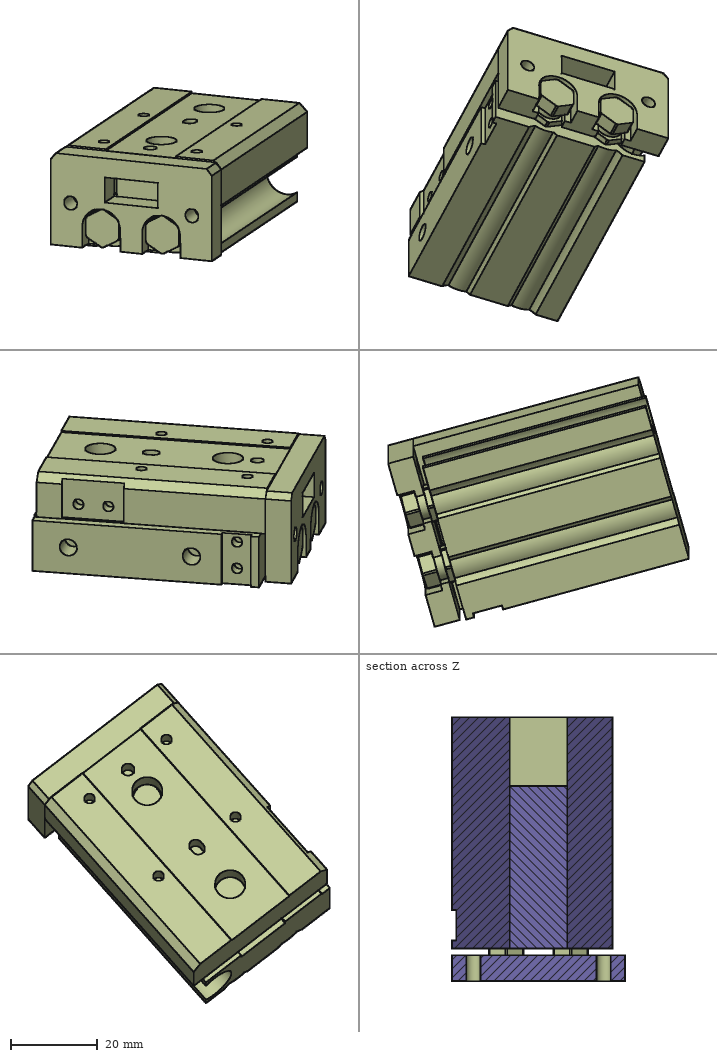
import cadquery as cq
import math


WIDTH = 40.0
LENGTH = 61.0
HEIGHT = 24.0
LEFT = -WIDTH / 2

PLATE_THICKNESS = 6.05
PLATE_BOTTOM = 1.5
PLATE_TOP = 23.55
PLATE_BEVEL_WIDTH = 1.3
PLATE_HOLE_DIAMETER = 3.25
PLATE_HOLE_X = 15.05
PLATE_HOLE_Z = 11.95

TABLE_BACK = 60.0
TABLE_BOTTOM = 13.4
TABLE_BEVEL = 1.95
BEVEL_BOTTOM = HEIGHT - TABLE_BEVEL
TOP_CHANNEL_WIDTH = 17.3
TOP_CHANNEL_DEPTH = 0.35
TABLE_HOLE_FRONT_Y = 12.0
TABLE_HOLE_BACK_Y = 37.0
TAPPED_HOLE_DIAMETER = 2.45
TAPPED_HOLE_X = 11.5
TAPPED_HOLE_DEPTH = 4.0
DOWEL_HOLE_DIAMETER = 3.0
DOWEL_SLOT_LENGTH = 3.95
DOWEL_HOLE_DEPTH = 4.0
ACCESS_HOLE_DIAMETER = 7.0
ACCESS_HOLE_FRONT_Y = 19.0
ACCESS_HOLE_BACK_Y = 49.05
ACCESS_HOLE_BACK_DEPTH = 4.4
NOTCH_DEPTH = 1.0
TABLE_NOTCH_FRONT = 39.45
TABLE_NOTCH_BACK = 54.1
TABLE_NOTCH_HOLES_Y = (43.3, 50.3)
TABLE_NOTCH_HOLE_Z = 16.95
SIDE_HOLE_DEPTH = 3.0

HOUSING_FRONT = 7.55
HOUSING_RIGHT = 17.15
HOUSING_TOP = 12.95
LEDGE_WIDTH = 2.45
LEDGE_Z = 12.5
HOUSING_NOTCH_FRONT = 9.45
HOUSING_NOTCH_BACK = 16.4
HOUSING_NOTCH_HOLE_Y = 12.95
HOUSING_NOTCH_HOLES_Z = (3.95, 10.5)
FRONT_PORT_DIAMETER = 4.15
BACK_PORT_DIAMETER = 4.0
FRONT_PORT_Y = 23.5
BACK_PORT_Y = 52.5
PORT_DEPTH = 6.0

ROD_X = 7.45
ROD_Z = 6.45
BARREL_RADIUS = 6.05
GROOVE_RADIUS = 5.0
BOTTOM_GROOVE_X = 8.2
BOTTOM_GROOVE_Z = -3.6
SIDE_GROOVE_X = 14.5
HEX_ACROSS_FLATS = 8.2
HEX_ACROSS_CORNERS = 9.15
ROD_RECESS = 0.7
NECK_DIAMETER = 6.5
HEAD_SLOT_WIDTH = 9.5
HEAD_SLOT_DEPTH = 4.0

GUIDE_WIDTH = 13.2
GUIDE_TOP = 19.0
GUIDE_BACK = 45.15
GUIDE_SEAT_DEPTH = 1.0
GUIDE_BOSS_DIAMETER = 6.5
GUIDE_BOSS_HEIGHT = 0.7


def block(x0, x1, y0, y1, z0, z1):
    """Box between two limits along each axis."""
    return cq.Workplane("XY").box(x1 - x0, y1 - y0, z1 - z0, centered=False).translate((x0, y0, z0))


def cylinder_along_y(x, z, radius, y0, y1):
    return cq.Workplane("XZ", origin=(x, y0, z)).circle(radius).extrude(y0 - y1)


def hole_from_left(face_x, y, z, diameter, depth):
    """Cutter for a blind hole that enters a face looking toward -X."""
    return cq.Workplane("YZ", origin=(face_x, y, z)).circle(diameter / 2).extrude(depth)


def hole_from_top(top_z, x, y, diameter, depth):
    """Cutter for a blind hole that enters a horizontal face from above."""
    return cq.Workplane("XY", origin=(x, y, top_z)).circle(diameter / 2).extrude(-depth)


def bevelled_slab(y0, y1, bottom, top, bevel_width):
    """Full-width slab whose two upper edges are cut off from the common bevel height up."""
    half = WIDTH / 2
    outline = [
        (-half, bottom),
        (-half, BEVEL_BOTTOM),
        (-half + bevel_width, top),
        (half - bevel_width, top),
        (half, BEVEL_BOTTOM),
        (half, bottom),
    ]
    return cq.Workplane("XZ", origin=(0, y0, 0)).polyline(outline).close().extrude(y0 - y1)


def guide_space(y0, y1, z0):
    """Straight passage with the guide rail's cross-section, from a given height up."""
    return block(-GUIDE_WIDTH / 2, GUIDE_WIDTH / 2, y0, y1, z0, GUIDE_TOP)


def rod_slot(x, width, y0, y1):
    """Cutter for a slot open at the plate's underside, round about the rod axis at its top."""
    arch = cylinder_along_y(x, ROD_Z, width / 2, y0, y1)
    return arch.union(block(x - width / 2, x + width / 2, y0, y1, 0, ROD_Z))


def make_end_plate():
    plate = bevelled_slab(0, PLATE_THICKNESS, PLATE_BOTTOM, PLATE_TOP, PLATE_BEVEL_WIDTH)
    plate = plate.cut(guide_space(0, PLATE_THICKNESS, HOUSING_TOP))
    for side in (-1, 1):
        bolt_hole = cylinder_along_y(
            side * PLATE_HOLE_X, PLATE_HOLE_Z, PLATE_HOLE_DIAMETER / 2, 0, PLATE_THICKNESS
        )
        head_slot = rod_slot(side * ROD_X, HEAD_SLOT_WIDTH, 0, HEAD_SLOT_DEPTH)
        neck_slot = rod_slot(side * ROD_X, NECK_DIAMETER, 0, PLATE_THICKNESS)
        plate = plate.cut(bolt_hole).cut(head_slot).cut(neck_slot)
    return plate


def make_table():
    table = bevelled_slab(PLATE_THICKNESS, TABLE_BACK, TABLE_BOTTOM, HEIGHT, TABLE_BEVEL)
    floor_z = HEIGHT - TOP_CHANNEL_DEPTH

    half_channel = TOP_CHANNEL_WIDTH / 2
    table = table.cut(block(-half_channel, half_channel, PLATE_THICKNESS, TABLE_BACK, floor_z, HEIGHT))
    table = table.cut(guide_space(PLATE_THICKNESS, GUIDE_BACK, TABLE_BOTTOM))

    front_depth = floor_z - GUIDE_TOP
    for y, depth in ((ACCESS_HOLE_FRONT_Y, front_depth), (ACCESS_HOLE_BACK_Y, ACCESS_HOLE_BACK_DEPTH)):
        table = table.cut(hole_from_top(floor_z, 0, y, ACCESS_HOLE_DIAMETER, depth))

    table = table.cut(hole_from_top(floor_z, 0, TABLE_HOLE_FRONT_Y, DOWEL_HOLE_DIAMETER, DOWEL_HOLE_DEPTH))
    dowel_slot = (
        cq.Workplane("XY", origin=(0, TABLE_HOLE_BACK_Y, floor_z))
        .slot2D(DOWEL_SLOT_LENGTH, DOWEL_HOLE_DIAMETER, 90)
        .extrude(-DOWEL_HOLE_DEPTH)
    )
    table = table.cut(dowel_slot)

    for x in (-TAPPED_HOLE_X, TAPPED_HOLE_X):
        for y in (TABLE_HOLE_FRONT_Y, TABLE_HOLE_BACK_Y):
            table = table.cut(hole_from_top(HEIGHT, x, y, TAPPED_HOLE_DIAMETER, TAPPED_HOLE_DEPTH))

    notch_x = LEFT + NOTCH_DEPTH
    table = table.cut(block(LEFT, notch_x, TABLE_NOTCH_FRONT, TABLE_NOTCH_BACK, TABLE_BOTTOM, HEIGHT))
    for y in TABLE_NOTCH_HOLES_Y:
        table = table.cut(
            hole_from_left(notch_x, y, TABLE_NOTCH_HOLE_Z, TAPPED_HOLE_DIAMETER, SIDE_HOLE_DEPTH)
        )
    return table


def make_housing():
    housing = block(LEFT, HOUSING_RIGHT, HOUSING_FRONT, LENGTH, 0, HOUSING_TOP)

    housing = housing.cut(block(LEFT, LEFT + LEDGE_WIDTH, HOUSING_FRONT, LENGTH, LEDGE_Z, HOUSING_TOP))
    housing = housing.cut(guide_space(HOUSING_FRONT, LENGTH, HOUSING_TOP - GUIDE_SEAT_DEPTH))

    for side in (-1, 1):
        groove = cylinder_along_y(
            side * BOTTOM_GROOVE_X, BOTTOM_GROOVE_Z, GROOVE_RADIUS, HOUSING_FRONT, LENGTH
        )
        barrel = cylinder_along_y(side * ROD_X, ROD_Z, BARREL_RADIUS, HOUSING_FRONT, LENGTH)
        housing = housing.cut(groove.cut(barrel))

    housing = housing.cut(cylinder_along_y(SIDE_GROOVE_X, ROD_Z, GROOVE_RADIUS, HOUSING_FRONT, LENGTH))

    notch_x = LEFT + NOTCH_DEPTH
    housing = housing.cut(block(LEFT, notch_x, HOUSING_NOTCH_FRONT, HOUSING_NOTCH_BACK, 0, HOUSING_TOP))
    for z in HOUSING_NOTCH_HOLES_Z:
        housing = housing.cut(
            hole_from_left(notch_x, HOUSING_NOTCH_HOLE_Y, z, TAPPED_HOLE_DIAMETER, SIDE_HOLE_DEPTH)
        )

    for y, diameter in ((FRONT_PORT_Y, FRONT_PORT_DIAMETER), (BACK_PORT_Y, BACK_PORT_DIAMETER)):
        housing = housing.cut(hole_from_left(LEFT, y, ROD_Z, diameter, PORT_DEPTH))
    return housing


def make_guide():
    """Straight rail with a low round boss that stands in the front access hole."""
    guide = guide_space(HOUSING_FRONT, GUIDE_BACK, HOUSING_TOP - GUIDE_SEAT_DEPTH)
    boss = (
        cq.Workplane("XY", origin=(0, ACCESS_HOLE_FRONT_Y, GUIDE_TOP))
        .circle(GUIDE_BOSS_DIAMETER / 2)
        .extrude(GUIDE_BOSS_HEIGHT)
    )
    return guide.union(boss)


def hexagon_along_y(x, y0, y1):
    """Hexagonal prism, corners up and down, with its corners turned off round."""
    sharp_diameter = HEX_ACROSS_FLATS / math.cos(math.pi / 6)
    prism = (
        cq.Workplane("XZ", origin=(x, y0, ROD_Z))
        .transformed(rotate=(0, 0, 90))
        .polygon(6, sharp_diameter)
        .extrude(y0 - y1)
    )
    return prism.intersect(cylinder_along_y(x, ROD_Z, HEX_ACROSS_CORNERS / 2, y0, y1))


def make_rod_end(x):
    """Hexagonal head in the plate, neck through its slot, and hexagonal collar against the housing."""
    head = hexagon_along_y(x, ROD_RECESS, HEAD_SLOT_DEPTH)
    neck = cylinder_along_y(x, ROD_Z, NECK_DIAMETER / 2, HEAD_SLOT_DEPTH, PLATE_THICKNESS)
    collar = hexagon_along_y(x, PLATE_THICKNESS, HOUSING_FRONT)
    return head.union(neck).union(collar)


end_plate = make_end_plate()
table = make_table()
housing = make_housing()
guide = make_guide()
rod_ends = [make_rod_end(side * ROD_X) for side in (-1, 1)]

bodies = [end_plate, table, housing, guide, *rod_ends]
result = cq.Compound.makeCompound([body.solids().val() for body in bodies])